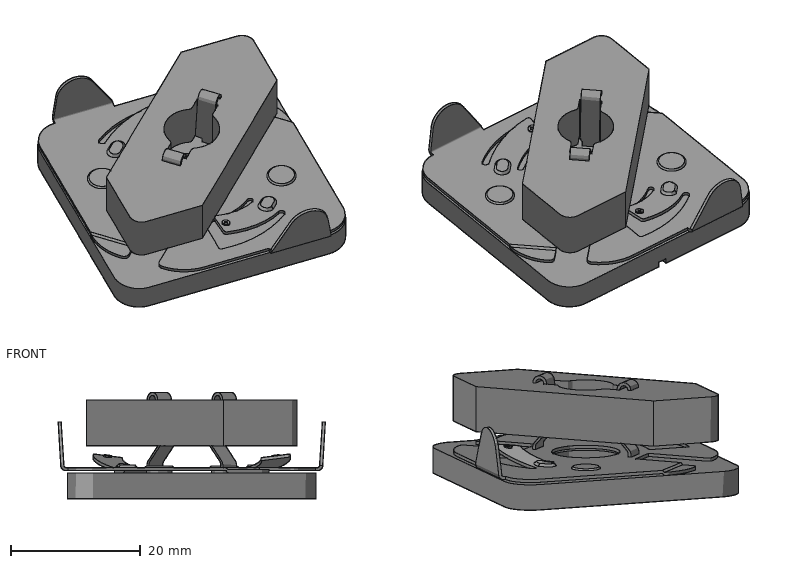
import cadquery as cq
import math

BASE_SIDE = 38.3
BASE_HEIGHT = 4.0
BASE_CORNER_RADIUS = 4.2
BASE_HOLE_DIAMETER = 11.0
CHANNEL_WIDTH = 1.4
CHANNEL_HEIGHT = 0.9

SHEET_THICKNESS = 0.5
SHEET_TOP = 4.8
SHEET_BOTTOM = SHEET_TOP - SHEET_THICKNESS
SHEET_SIDE = 38.05
SHEET_CORNER_RADIUS = 4.05
LOBE_RADIUS = 8.25
LOBE_START = 5.7
SHEET_HOLE_DIAMETER = 10.5
TIP_SLOT_WIDTH = 5.05
TIP_SLOT_START = 9.47
TIP_CORNER_RADIUS = 0.82
STEP_START = 17.15
STEP_RUN = 0.3
STEP_DROP = SHEET_BOTTOM - BASE_HEIGHT

OVERALL_LENGTH = 41.2
EAR_TOP = 11.85
EAR_FOOT_X = 20.15
EAR_NEAR_Y = 5.03
EAR_FAR_Y = 14.9
EAR_ARC_RADIUS = 3.3
EAR_ARC_Y = 11.0
EAR_SIDE_Z = 5.1
EAR_BEND_RADIUS = 0.35

FOLD_ANGLE = 37.8
TONGUE_LIFT_ANGLE = 12.0
TONGUE_INNER_RADIUS = 10.85
TONGUE_OUTER_RADIUS = 15.35
TONGUE_END_Y = -1.0
WINDOW_INNER_RADIUS = 9.9
WINDOW_OUTER_RADIUS = 16.48
WINDOW_END_Y = -2.1
END_CORNER_RADIUS = 0.4
DIMPLE_X = 13.15
DIMPLE_Y = 0.12
DIMPLE_DIAMETER = 1.25
DIMPLE_HOLE_DIAMETER = 0.5
DIMPLE_HEIGHT = 0.2

BUTTON_X = 5.0
BUTTON_Y = 12.9
BUTTON_DIAMETER = 4.0
BUTTON_HEIGHT = 0.25
BUTTON_FLARE = 0.25
PAD_DIAMETER = 3.95
RIB_X = 10.05
RIB_Y = 8.4
RIB_LENGTH = 3.65
RIB_WIDTH = 2.47
RIB_HEIGHT = 0.4
RIB_TAPER = 40.0

BLOCK_SIDE = 32.45
BLOCK_BOTTOM = 8.15
BLOCK_TOP = 15.25
BLOCK_EDGE = 11.33
BLOCK_CORNER_RADIUS = 2.0
BORE_DIAMETER = 8.55
BLOCK_SLOT_WIDTH = 3.45
BLOCK_SLOT_END = 6.35
SLOT_MOUTH_RADIUS = 0.75

LEG_WIDTH = 3.0
LEG_THICKNESS = 0.5
LEG_FOOT_U = 7.8
LEG_FOOT_Z = 5.55
LEG_KNEE_U = 5.03
LEG_KNEE_Z = 8.55
LEG_BEND_RADIUS = 0.6
HOOK_RADIUS = 1.15
HOOK_CENTER_U = 7.1

DIAGONAL_ANGLE = -45.0
REACH = 2 * OVERALL_LENGTH


def half_turn(shape):
    """Copy of the shape turned 180 degrees about the Z axis."""
    return shape.rotate((0, 0, 0), (0, 0, 1), 180)


def pair(shape):
    """The shape together with its half-turn copy."""
    return shape.union(half_turn(shape))


def on_diagonal(shape):
    """Turn a shape built along X onto the +X -Y diagonal."""
    return shape.rotate((0, 0, 0), (0, 0, 1), DIAGONAL_ANGLE)


def polar(radius, degrees):
    angle = math.radians(degrees)
    return (radius * math.cos(angle), radius * math.sin(angle))


def make_base():
    base = (
        cq.Workplane("XY")
        .rect(BASE_SIDE, BASE_SIDE)
        .extrude(BASE_HEIGHT)
        .edges("|Z")
        .fillet(BASE_CORNER_RADIUS)
    )
    hole = cq.Workplane("XY").circle(BASE_HOLE_DIAMETER / 2).extrude(BASE_HEIGHT)
    channel = cq.Workplane("XY").box(
        BASE_SIDE / 2, CHANNEL_WIDTH, CHANNEL_HEIGHT, centered=(False, True, False)
    ).translate((-BASE_SIDE / 2, 0, 0))
    return base.cut(hole).cut(channel)


def lobe_reach(offset):
    """Distance along the diagonal to a lobe arc, at a sideways offset from that diagonal."""
    center_x = LOBE_START
    center_y = SHEET_SIDE / 2 - LOBE_RADIUS
    along = (center_x + center_y) / math.sqrt(2)
    across = (center_y - center_x) / math.sqrt(2)
    return along + math.sqrt(LOBE_RADIUS**2 - (across - offset) ** 2)


def diagonal_point(along, across):
    """XY position of a point given along and across the +X -Y diagonal."""
    return ((along + across) / math.sqrt(2), (across - along) / math.sqrt(2))


def sheet_outline():
    """Square with two round corners, and two corners drawn in as pairs of lobes."""
    half = SHEET_SIDE / 2
    lobe_half_width = (half - LOBE_START - LOBE_RADIUS) / math.sqrt(2)

    def lobe_point(end, offset):
        """Point on a lobe of the +X -Y corner (end = 1) or of the opposite one (end = -1)."""
        return diagonal_point(end * lobe_reach(abs(offset)), offset)

    outline = (
        cq.Workplane("XY")
        .moveTo(-LOBE_START, half)
        .lineTo(half, half)
        .lineTo(half, -LOBE_START)
        .threePointArc(lobe_point(1, lobe_half_width), lobe_point(1, 0))
        .threePointArc(lobe_point(1, -lobe_half_width), (LOBE_START, -half))
        .lineTo(-half, -half)
        .lineTo(-half, LOBE_START)
        .threePointArc(lobe_point(-1, -lobe_half_width), lobe_point(-1, 0))
        .threePointArc(lobe_point(-1, lobe_half_width), (-LOBE_START, half))
        .close()
        .extrude(SHEET_TOP)
    )
    for corner in ((half, half), (-half, -half)):
        selector = cq.NearestToPointSelector((*corner, SHEET_TOP / 2))
        outline = outline.edges(selector).fillet(SHEET_CORNER_RADIUS)

    slot = cq.Workplane("XY").box(
        REACH, TIP_SLOT_WIDTH, SHEET_TOP, centered=(False, True, False)
    ).translate((TIP_SLOT_START, 0, 0))
    outline = outline.cut(pair(on_diagonal(slot)))

    for end in (-1, 1):
        for offset in (-TIP_SLOT_WIDTH / 2, TIP_SLOT_WIDTH / 2):
            selector = cq.NearestToPointSelector((*lobe_point(end, offset), SHEET_TOP / 2))
            outline = outline.edges(selector).fillet(TIP_CORNER_RADIUS)
    return outline


def make_sheet():
    """Plate of two equal halves, each stepped down onto the base at one end."""
    step_end = STEP_START + STEP_RUN
    profile = [
        (-REACH, SHEET_BOTTOM),
        (STEP_START, SHEET_BOTTOM),
        (step_end, SHEET_BOTTOM - STEP_DROP),
        (REACH, SHEET_BOTTOM - STEP_DROP),
        (REACH, SHEET_TOP - STEP_DROP),
        (step_end, SHEET_TOP - STEP_DROP),
        (STEP_START, SHEET_TOP),
        (-REACH, SHEET_TOP),
    ]
    half = cq.Workplane("XZ").polyline(profile).close().extrude(REACH)
    sheet = pair(on_diagonal(half)).intersect(sheet_outline())
    hole = cq.Workplane("XY").circle(SHEET_HOLE_DIAMETER / 2).extrude(SHEET_TOP)
    return sheet.cut(hole)


def make_ear():
    """Ear on the -X side, leaning outwards above a bend in the sheet."""
    top_x = OVERALL_LENGTH / 2
    edge_x = SHEET_SIDE / 2 - SHEET_THICKNESS
    profile = [
        (-edge_x, SHEET_BOTTOM),
        (-EAR_FOOT_X, SHEET_BOTTOM),
        (-top_x, EAR_TOP),
        (-top_x + SHEET_THICKNESS, EAR_TOP),
        (-EAR_FOOT_X + SHEET_THICKNESS, SHEET_TOP),
        (-edge_x, SHEET_TOP),
    ]
    strip = (
        cq.Workplane("XZ", origin=(0, -EAR_NEAR_Y, 0))
        .polyline(profile)
        .close()
        .extrude(EAR_FAR_Y - EAR_NEAR_Y)
    )
    bends = (
        (profile[1], EAR_BEND_RADIUS + SHEET_THICKNESS),
        (profile[4], EAR_BEND_RADIUS),
    )
    for (x, z), radius in bends:
        selector = cq.NearestToPointSelector((x, -(EAR_NEAR_Y + EAR_FAR_Y) / 2, z))
        strip = strip.edges(selector).fillet(radius)

    arc_z = EAR_TOP - EAR_ARC_RADIUS

    def tangent_point(y, side):
        """Point where the flank rising from y meets the round top."""
        dy = y + EAR_ARC_Y
        dz = EAR_SIDE_Z - arc_z
        angle = math.atan2(dz, dy) + side * math.acos(EAR_ARC_RADIUS / math.hypot(dy, dz))
        return (
            -EAR_ARC_Y + EAR_ARC_RADIUS * math.cos(angle),
            arc_z + EAR_ARC_RADIUS * math.sin(angle),
        )

    face = (
        cq.Workplane("YZ")
        .moveTo(-EAR_NEAR_Y, 0)
        .lineTo(-EAR_NEAR_Y, EAR_SIDE_Z)
        .lineTo(*tangent_point(-EAR_NEAR_Y, 1))
        .threePointArc((-EAR_ARC_Y, EAR_TOP), tangent_point(-EAR_FAR_Y, -1))
        .lineTo(-EAR_FAR_Y, EAR_SIDE_Z)
        .lineTo(-EAR_FAR_Y, 0)
        .close()
        .extrude(-REACH)
    )
    return strip.intersect(face)


def arc_sector(inner, outer, end_y):
    """Sheet-thick ring sector from the fold line round to the line y = end_y."""

    def end_x(radius):
        return math.sqrt(radius**2 - end_y**2)

    def middle(radius):
        end_angle = math.degrees(math.asin(end_y / radius))
        return polar(radius, (FOLD_ANGLE + end_angle) / 2)

    sector = (
        cq.Workplane("XY", origin=(0, 0, SHEET_BOTTOM))
        .moveTo(*polar(outer, FOLD_ANGLE))
        .threePointArc(middle(outer), (end_x(outer), end_y))
        .lineTo(end_x(inner), end_y)
        .threePointArc(middle(inner), polar(inner, FOLD_ANGLE))
        .close()
        .extrude(SHEET_THICKNESS)
    )
    for radius in (inner, outer):
        selector = cq.NearestToPointSelector((end_x(radius), end_y, SHEET_TOP - SHEET_THICKNESS / 2))
        sector = sector.edges(selector).fillet(END_CORNER_RADIUS)
    return sector


def make_window():
    """Opening round a tongue, with rounded slot ends at the fold."""
    window = arc_sector(WINDOW_INNER_RADIUS, WINDOW_OUTER_RADIUS, WINDOW_END_Y)
    gaps = (
        (WINDOW_INNER_RADIUS, TONGUE_INNER_RADIUS),
        (TONGUE_OUTER_RADIUS, WINDOW_OUTER_RADIUS),
    )
    for inner, outer in gaps:
        center = polar((inner + outer) / 2, FOLD_ANGLE)
        slot_end = (
            cq.Workplane("XY", origin=(*center, SHEET_BOTTOM))
            .circle((outer - inner) / 2)
            .extrude(SHEET_THICKNESS)
        )
        window = window.union(slot_end)
    return window


def make_rib():
    """Oval embossed rib that crosses the fold of a tongue."""
    return (
        cq.Workplane("XY", origin=(0, 0, SHEET_TOP))
        .slot2D(RIB_LENGTH, RIB_WIDTH)
        .extrude(RIB_HEIGHT, taper=RIB_TAPER)
        .rotate((0, 0, 0), (0, 0, 1), DIAGONAL_ANGLE)
        .translate((RIB_X, RIB_Y, 0))
    )


def make_tongue():
    """Tongue with a dimple near its free end, hinged up about the fold line."""
    tongue = arc_sector(TONGUE_INNER_RADIUS, TONGUE_OUTER_RADIUS, TONGUE_END_Y)
    dimple = (
        cq.Workplane("XY", origin=(DIMPLE_X, DIMPLE_Y, SHEET_TOP))
        .circle(DIMPLE_DIAMETER / 2)
        .circle(DIMPLE_HOLE_DIAMETER / 2)
        .extrude(DIMPLE_HEIGHT)
    )
    tongue_side = (
        cq.Workplane("XY")
        .box(REACH, REACH, REACH, centered=(True, False, True))
        .translate((0, -REACH, 0))
        .rotate((0, 0, 0), (0, 0, 1), FOLD_ANGLE)
    )
    tilted_rib = make_rib().intersect(tongue_side)
    hinge_end = polar(0.4, FOLD_ANGLE)
    return tongue.union(dimple).union(tilted_rib).rotate(
        (0, 0, SHEET_BOTTOM), (*hinge_end, SHEET_BOTTOM), -TONGUE_LIFT_ANGLE
    )


def make_button():
    """Flared round button above the sheet, with a pad that joins it to the base."""
    pad = (
        cq.Workplane("XY", origin=(BUTTON_X, BUTTON_Y, BASE_HEIGHT))
        .circle(PAD_DIAMETER / 2)
        .extrude(SHEET_TOP - BASE_HEIGHT)
    )
    button = (
        cq.Workplane("XY", origin=(BUTTON_X, BUTTON_Y, SHEET_TOP))
        .circle(BUTTON_DIAMETER / 2 + BUTTON_FLARE)
        .workplane(offset=BUTTON_HEIGHT)
        .circle(BUTTON_DIAMETER / 2)
        .loft()
    )
    return pad.union(button)


def make_block():
    half = BLOCK_SIDE / 2
    inset = BLOCK_EDGE - half
    outline = [
        (-half, half),
        (inset, half),
        (half, inset),
        (half, -half),
        (-inset, -half),
        (-half, -inset),
    ]
    height = BLOCK_TOP - BLOCK_BOTTOM
    block = (
        cq.Workplane("XY", origin=(0, 0, BLOCK_BOTTOM))
        .polyline(outline)
        .close()
        .extrude(height)
    )
    for corner in (outline[0], outline[3]):
        selector = cq.NearestToPointSelector((*corner, BLOCK_BOTTOM + height / 2))
        block = block.edges(selector).fillet(BLOCK_CORNER_RADIUS)

    bore = cq.Workplane("XY", origin=(0, 0, BLOCK_BOTTOM)).circle(BORE_DIAMETER / 2).extrude(height)
    slots = cq.Workplane("XY", origin=(0, 0, BLOCK_BOTTOM)).rect(
        2 * BLOCK_SLOT_END, BLOCK_SLOT_WIDTH
    ).extrude(height)
    opening = bore.union(slots)
    mouth = SLOT_MOUTH_RADIUS + BORE_DIAMETER / 2
    mouth_box = cq.selectors.BoxSelector((-mouth, -mouth, 0), (mouth, mouth, REACH))
    opening = opening.edges("|Z").edges(mouth_box).fillet(SLOT_MOUTH_RADIUS)
    return block.cut(on_diagonal(opening))


def make_leg():
    """Bent strip: foot on the sheet, slanted shank, upright and a hook over the block."""
    hook_inner = HOOK_RADIUS - LEG_THICKNESS
    top_u = HOOK_CENTER_U - HOOK_RADIUS
    tail_u = HOOK_CENTER_U + HOOK_RADIUS
    strip = (
        cq.Workplane("XZ", origin=(0, LEG_WIDTH / 2, 0))
        .moveTo(LEG_FOOT_U, SHEET_BOTTOM)
        .lineTo(LEG_FOOT_U, LEG_FOOT_Z)
        .lineTo(LEG_KNEE_U, LEG_KNEE_Z)
        .lineTo(top_u, BLOCK_TOP)
        .threePointArc((HOOK_CENTER_U, BLOCK_TOP + HOOK_RADIUS), (tail_u, BLOCK_TOP))
        .lineTo(tail_u - LEG_THICKNESS, BLOCK_TOP)
        .threePointArc((HOOK_CENTER_U, BLOCK_TOP + hook_inner), (top_u + LEG_THICKNESS, BLOCK_TOP))
        .lineTo(LEG_KNEE_U + LEG_THICKNESS, LEG_KNEE_Z)
        .lineTo(LEG_FOOT_U + LEG_THICKNESS, LEG_FOOT_Z)
        .lineTo(LEG_FOOT_U + LEG_THICKNESS, SHEET_BOTTOM)
        .close()
        .extrude(LEG_WIDTH)
    )
    bends = (
        (LEG_FOOT_U, LEG_FOOT_Z, LEG_BEND_RADIUS),
        (LEG_FOOT_U + LEG_THICKNESS, LEG_FOOT_Z, LEG_BEND_RADIUS + LEG_THICKNESS),
        (LEG_KNEE_U, LEG_KNEE_Z, LEG_BEND_RADIUS + LEG_THICKNESS),
        (LEG_KNEE_U + LEG_THICKNESS, LEG_KNEE_Z, LEG_BEND_RADIUS),
    )
    for u, z, radius in bends:
        strip = strip.edges(cq.NearestToPointSelector((u, 0, z))).fillet(radius)
    return on_diagonal(strip)


sheet = make_sheet().cut(pair(make_window()))
result = make_base().union(sheet).union(make_block())
for feature in (make_ear(), make_tongue(), make_rib(), make_button(), make_leg()):
    result = result.union(pair(feature))